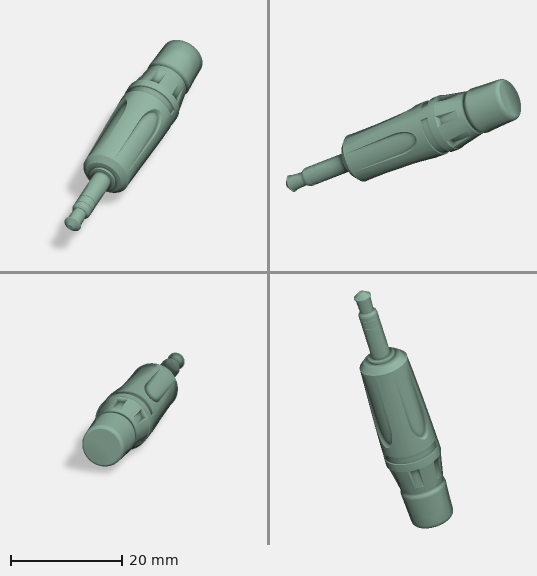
import cadquery as cq

length = 48.45

pin_radius = 1.75
tip_flat_radius = 0.55
tip_ridge_radius = 1.6
tip_cone_end = 0.85
tip_ridge_end = 1.05
waist_front_radius = 1.4
waist_back_radius = 1.25
waist_end = 3.95
pin_shoulder_front_radius = 1.4
pin_shoulder_middle_radius = 1.65
pin_shoulder_middle = 4.3
pin_shoulder_end = 4.6
ring_groove_centers = (5.3, 6.95)
ring_groove_width = 0.15
ring_groove_radius = 1.65

flange_radius = 2.5
flange_neck_radius = 2.35
flange_front = 13.45
flange_lip = 0.15

barrel_front = 14.05
barrel_nose_radius = 3.45
barrel_nose_end = 15.05
barrel_taper_start = 15.55
barrel_front_radius = 4.45
barrel_bulge = 0.075

collar_diameter = 10.3
collar_radius = collar_diameter / 2
collar_edge = 34.55
collar_cone_start = 35.25
collar_cone_radius = 5.05
collar_back = 40.55
collar_back_radius = 4.05

cap_neck_radius = 3.4
cap_round_start = 41.25
cap_round_start_radius = 3.95
cap_round_end = 41.95
cap_wide_radius = 4.2
cap_taper_end = 47.67
cap_narrow_radius = 3.92
cap_end_radius = 3.45
cap_front_bulge = 0.1
cap_end_bulge = 0.12

pocket_count = 4
pocket_front = barrel_taper_start
pocket_back = 30.45
pocket_arch_start = 25.78
pocket_half_width = 2.55
pocket_floor_radius = 4.4
pocket_wall_draft = 35
pocket_cutter_depth = 1.45

window_count = 6
window_front = collar_cone_start
window_front_overrun = 0.15
window_back = 40.0
window_front_half_width = 1.2
window_back_half_width = 1.55
window_cutter_depth = 1.2
window_floor_radius = 4.25
window_wall_draft = 35

recess_front = 32.2
recess_back = 33.75
recess_radius = 4.8
rib_half_width = 1.25


def revolved_body():
    """Solid of revolution from the pin tip to the cable end."""
    profile = (
        cq.Workplane("XY")
        .moveTo(0, 0)
        .lineTo(tip_flat_radius, 0)
        .lineTo(tip_ridge_radius, tip_cone_end)
        .lineTo(tip_ridge_radius, tip_ridge_end)
        .lineTo(waist_front_radius, tip_ridge_end)
        .lineTo(waist_back_radius, waist_end)
        .lineTo(pin_shoulder_front_radius, waist_end)
        .lineTo(pin_shoulder_middle_radius, pin_shoulder_middle)
        .lineTo(pin_radius, pin_shoulder_end)
        .lineTo(pin_radius, flange_front)
        .lineTo(flange_radius, flange_front)
        .lineTo(flange_radius, flange_front + flange_lip)
        .lineTo(flange_neck_radius, flange_front + flange_lip)
        .lineTo(flange_neck_radius, barrel_front)
        .lineTo(barrel_nose_radius, barrel_front)
        .lineTo(barrel_front_radius, barrel_nose_end)
        .lineTo(barrel_front_radius, barrel_taper_start)
        .sagittaArc((collar_radius, collar_edge), -barrel_bulge)
        .lineTo(collar_radius, collar_cone_start)
        .lineTo(collar_cone_radius, collar_cone_start)
        .lineTo(collar_back_radius, collar_back)
        .lineTo(cap_neck_radius, collar_back)
        .lineTo(cap_round_start_radius, cap_round_start)
        .sagittaArc((cap_wide_radius, cap_round_end), -cap_front_bulge)
        .lineTo(cap_narrow_radius, cap_taper_end)
        .sagittaArc((cap_end_radius, length), -cap_end_bulge)
        .lineTo(0, length)
        .close()
    )
    return profile.revolve(360, (0, 0, 0), (0, 1, 0))


def cylinder(radius, start, end):
    """Cylinder about the Y axis from Y = start to Y = end."""
    return cq.Workplane("XZ", origin=(0, start, 0)).circle(radius).extrude(start - end)


def ring(inner_radius, start, end):
    """Cutting ring that leaves a groove floor at inner_radius."""
    return cylinder(collar_diameter, start, end).cut(cylinder(inner_radius, start, end))


def pin_grooves():
    """Narrow grooves around the pin at its insulating rings."""
    half = ring_groove_width / 2
    grooves = cq.Workplane("XY")
    for center in ring_groove_centers:
        grooves = grooves.add(ring(ring_groove_radius, center - half, center + half))
    return grooves.combine()


def rib_recess():
    """Shallow groove ahead of the collar, with a rib left standing on each X side."""
    band = ring(recess_radius, recess_front, recess_back)
    rib_span = 2 * collar_diameter
    ribs = cq.Workplane("XY").box(rib_span, recess_back - recess_front, 2 * rib_half_width)
    return band.cut(ribs.translate((0, (recess_front + recess_back) / 2, 0)))


def trim_cutter(cutter, front, floor_radius):
    """Cutter limited to the space behind Y = front and outside a round floor."""
    behind_front = cutter.cut(cylinder(collar_diameter, 0, front))
    return behind_front.cut(cylinder(floor_radius, 0, length))


def grip_pocket():
    """Arched cutter above the barrel, with drafted walls and a round floor."""
    outline = (
        cq.Workplane("XY", origin=(0, 0, collar_radius))
        .moveTo(-pocket_half_width, barrel_front)
        .lineTo(pocket_half_width, barrel_front)
        .lineTo(pocket_half_width, pocket_arch_start)
        .ellipseArc(pocket_half_width, pocket_back - pocket_arch_start, 0, 180, startAtCurrent=True)
        .close()
    )
    cutter = outline.extrude(-pocket_cutter_depth, taper=pocket_wall_draft)
    return trim_cutter(cutter, pocket_front, pocket_floor_radius)


def collar_window():
    """Trapezoid cutter above the collar cone, with drafted walls and a round floor."""
    outline = (
        cq.Workplane("XY", origin=(0, 0, collar_radius))
        .moveTo(-window_front_half_width, window_front - window_front_overrun)
        .lineTo(window_front_half_width, window_front - window_front_overrun)
        .lineTo(window_back_half_width, window_back)
        .lineTo(-window_back_half_width, window_back)
        .close()
    )
    cutter = outline.extrude(-window_cutter_depth, taper=window_wall_draft)
    return trim_cutter(cutter, window_front, window_floor_radius)


def around_axis(cutter, count, first_angle):
    """Copies of a cutter spaced evenly about the Y axis."""
    copies = cq.Workplane("XY")
    for index in range(count):
        angle = first_angle + 360 * index / count
        copies = copies.add(cutter.rotate((0, 0, 0), (0, 1, 0), angle))
    return copies.combine()


result = (
    revolved_body()
    .cut(pin_grooves())
    .cut(rib_recess())
    .cut(around_axis(grip_pocket(), pocket_count, 180 / pocket_count))
    .cut(around_axis(collar_window(), window_count, 0))
)